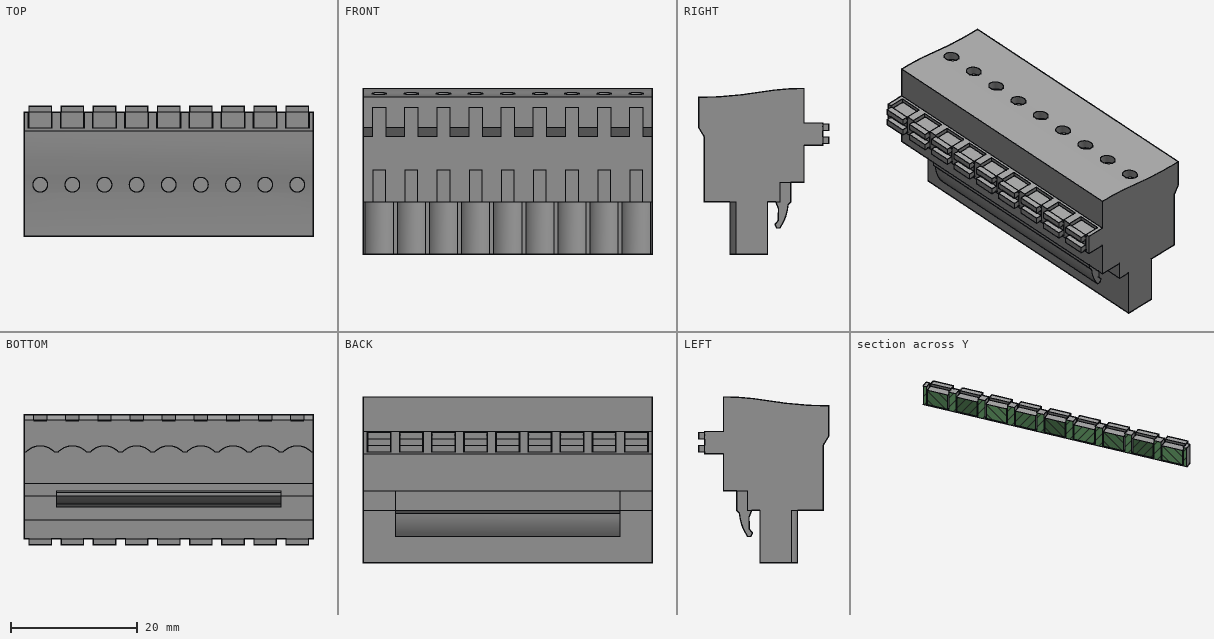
import cadquery as cq


LENGTH = 45.7
POLE_COUNT = 9
PITCH = LENGTH / POLE_COUNT
POLE_CENTRES = [(i + 0.5) * PITCH for i in range(POLE_COUNT)]

TOTAL_HEIGHT = 26.25
FRONT_TOP_Z = 24.83
BACK_Y = 16.7
CREST_Y = 9.8
OVERHANG = 0.85
LIP_Z = 20.03
LIP_BEVEL_Z = 18.6
BASE_Z = 8.28
STEP_Y = 12.9
STEP_Z = 11.4

PLUG_FRONT_Y = 5.9
PLUG_BACK_Y = 10.93
COLUMN_FRONT_Y = 4.95
COLUMN_WIDTH = 4.45

LIP_SLOT_WIDTH = 2.1
LIP_SLOT_TOP_Z = 23.23
RECESS_WIDTH = 2.0
RECESS_TOP_Z = 13.3
RECESS_DEPTH = 0.2

HOLE_DIAMETER = 2.35
HOLE_Y = 8.2
HOLE_FLOOR_Z = 23.85

RAIL_BACK_Y = 19.65
RAIL_BOTTOM_Z = 17.25
RAIL_TOP_Z = 20.75
POCKET_FRONT_Y = 17.15
LEVER_GAP = 0.115

LEVER_WIDTH = 3.55
LEVER_BACK_Y = 20.6
LEVER_BOTTOM_Z = 17.5
LEVER_TOP_Z = 20.6
LEVER_BLOCK_TOP_Z = 20.15
TAB_HEIGHT = 1.05

LATCH_BACK_Y = 14.6
LATCH_INSET = PITCH
LATCH_SHOULDER = (14.17, 7.8)
LATCH_BELLY = (13.75, 5.9)
LATCH_TIP_BACK = (12.85, 4.1)
LATCH_TIP_FRONT = (12.35, 4.1)
HOOK_POINT = (12.05, 4.7)
HOOK_ROOT = (12.57, 5.3)
LATCH_NECK = (12.6, 7.22)
LATCH_ROOT_Y = 12.2


def box(x_range, y_range, z_range):
    """Box that spans the given (low, high) range on each axis."""
    lows, highs = zip(x_range, y_range, z_range)
    size = [high - low for low, high in zip(lows, highs)]
    return cq.Workplane("XY").box(*size, centered=False).translate(lows)


def span(centre, width):
    """(low, high) range of a width about a centre."""
    return centre - width / 2, centre + width / 2


def arc_radius(run, drop):
    """Radius of an arc that is level at one end and covers the given run and drop."""
    return (run**2 + drop**2) / (2 * drop)


def shell_block():
    """Main profile along X; two tangent arcs, level at both ends, form the top."""
    drop = TOTAL_HEIGHT - FRONT_TOP_Z
    crest_z = FRONT_TOP_Z + drop * CREST_Y / BACK_Y
    hollow_radius = arc_radius(CREST_Y, crest_z - FRONT_TOP_Z)
    crown_radius = arc_radius(BACK_Y - CREST_Y, TOTAL_HEIGHT - crest_z)
    return (
        cq.Workplane("YZ")
        .moveTo(0, FRONT_TOP_Z)
        .radiusArc((CREST_Y, crest_z), -hollow_radius)
        .radiusArc((BACK_Y, TOTAL_HEIGHT), crown_radius)
        .lineTo(BACK_Y, STEP_Z)
        .lineTo(STEP_Y, STEP_Z)
        .lineTo(STEP_Y, BASE_Z)
        .lineTo(OVERHANG, BASE_Z)
        .lineTo(OVERHANG, LIP_BEVEL_Z)
        .lineTo(0, LIP_Z)
        .close()
        .extrude(LENGTH)
    )


def plug():
    """Bar below the housing whose front bulges into one rounded column per pole."""
    outline = cq.Workplane("XY").moveTo(0, PLUG_FRONT_Y)
    for x in POLE_CENTRES:
        left, right = span(x, COLUMN_WIDTH)
        outline = outline.lineTo(left, PLUG_FRONT_Y)
        outline = outline.threePointArc((x, COLUMN_FRONT_Y), (right, PLUG_FRONT_Y))
    outline = outline.lineTo(LENGTH, PLUG_FRONT_Y).lineTo(LENGTH, PLUG_BACK_Y).lineTo(0, PLUG_BACK_Y)
    return outline.close().extrude(BASE_Z)


def latch():
    """Curved latch strip that hangs from the back step and ends in a small hook."""
    return (
        cq.Workplane("YZ", origin=(LATCH_INSET, 0, 0))
        .moveTo(STEP_Y, STEP_Z)
        .lineTo(LATCH_BACK_Y, STEP_Z)
        .lineTo(LATCH_BACK_Y, BASE_Z)
        .lineTo(*LATCH_SHOULDER)
        .threePointArc(LATCH_BELLY, LATCH_TIP_BACK)
        .lineTo(*LATCH_TIP_FRONT)
        .lineTo(*HOOK_POINT)
        .lineTo(*HOOK_ROOT)
        .lineTo(*LATCH_NECK)
        .lineTo(LATCH_ROOT_Y, BASE_Z)
        .lineTo(STEP_Y, BASE_Z)
        .close()
        .extrude(LENGTH - 2 * LATCH_INSET)
    )


def front_slots(x):
    """Slot through the front lip and shallow recess below it, for the pole at x."""
    lip_slot = box(span(x, LIP_SLOT_WIDTH), (0, OVERHANG), (LIP_BEVEL_Z, LIP_SLOT_TOP_Z))
    recess = box(span(x, RECESS_WIDTH), (OVERHANG, OVERHANG + RECESS_DEPTH), (BASE_Z, RECESS_TOP_Z))
    return lip_slot.union(recess)


def test_hole(x):
    """Blind round hole in the top surface, for the pole at x."""
    hole = cq.Workplane("XY", origin=(x, HOLE_Y, HOLE_FLOOR_Z)).circle(HOLE_DIAMETER / 2)
    return hole.extrude(TOTAL_HEIGHT - HOLE_FLOOR_Z)


def lever_pocket(x):
    """Pocket in the rail, open at the top and back, for the lever at x."""
    width = LEVER_WIDTH + 2 * LEVER_GAP
    return box(span(x, width), (POCKET_FRONT_Y, RAIL_BACK_Y), (LEVER_BOTTOM_Z, RAIL_TOP_Z))


def make_housing():
    rail = box((0, LENGTH), (BACK_Y, RAIL_BACK_Y), (RAIL_BOTTOM_Z, RAIL_TOP_Z))
    body = shell_block().union(plug()).union(latch()).union(rail)
    for x in POLE_CENTRES:
        body = body.cut(front_slots(x)).cut(test_hole(x)).cut(lever_pocket(x))
    return body


def make_lever(x):
    """Lever block that sits in the pocket at x, with two tabs that stand out at the back."""
    width = span(x, LEVER_WIDTH)
    tab_depth = (RAIL_BACK_Y, LEVER_BACK_Y)
    block = box(width, (POCKET_FRONT_Y, RAIL_BACK_Y), (LEVER_BOTTOM_Z, LEVER_BLOCK_TOP_Z))
    upper_tab = box(width, tab_depth, (LEVER_TOP_Z - TAB_HEIGHT, LEVER_TOP_Z))
    lower_tab = box(width, tab_depth, (LEVER_BOTTOM_Z, LEVER_BOTTOM_Z + TAB_HEIGHT))
    return block.union(upper_tab).union(lower_tab)


housing = make_housing()
levers = [make_lever(x) for x in POLE_CENTRES]

result = cq.Compound.makeCompound([housing.val(), *[lever.val() for lever in levers]])